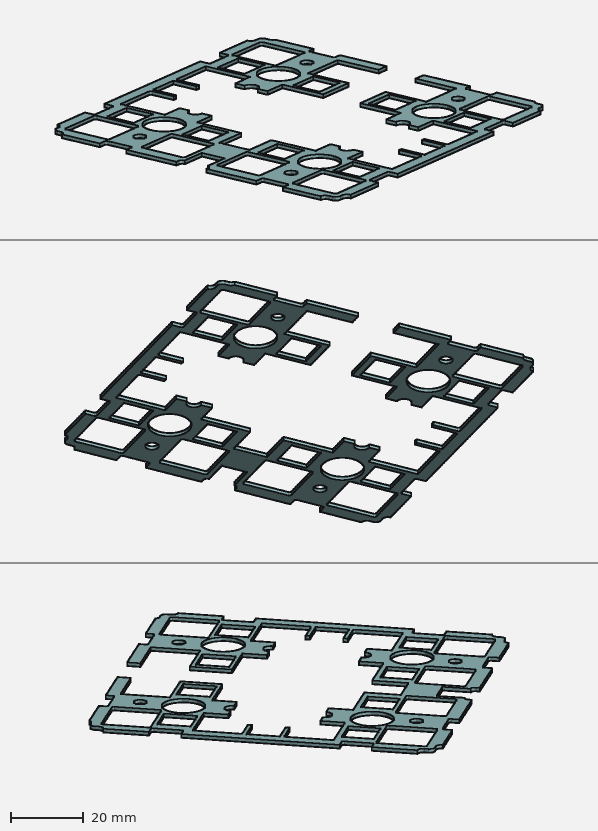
import cadquery as cq
import math

THICKNESS = 1.11
SIDE = 100.0
BACK_TRIM = 0.75
HALF = SIDE / 2
BACK_EDGE = HALF - BACK_TRIM
FRONT_EDGE = -HALF

CORNER_STEP = 1.6
CORNER_LENGTH = 5.9
CORNER_RADIUS = 1.6

RAIL_INNER_X = 46.3
POST_INNER_X = 20.2
POST_OUTER_X = 31.2
POST_END_Y = 12.9
BAR_INNER_Y = 19.8
BAR_OUTER_Y = 31.65
BACK_BAR_END_X = 6.3
FRONT_BAR_END_X = 5.1
FILLET = 0.6

BACK_WINDOW_END_Y = 45.5
FRONT_WINDOW_END_Y = 45.9
FRONT_WINDOW_INNER_X = 5.5

SMALL_WINDOW_SIZE = 9.05
OUTER_SMALL_WINDOW_X = 38.55
INNER_SMALL_WINDOW_X = 12.9
SMALL_WINDOW_OUTER_Y = 30.4
BACK_SMALL_WINDOW_INNER_Y = 21.0
FRONT_SMALL_WINDOW_INNER_Y = 21.4

LARGE_HOLE_DIAMETER = 12.0
LARGE_HOLE_X = 26.5
LARGE_HOLE_Y = 26.5
SCREW_HOLE_DIAMETER = 3.7
POST_AXIS_X = 25.8
SCREW_HOLE_Y = 38.8
POST_END_NOTCH_RADIUS = 2.2

NOTCH_WIDTH = 9.0
SIDE_NOTCH_FLOOR_X = 46.75
SIDE_NOTCH_OUTER_Y = 31.25
BACK_NOTCH_FLOOR_Y = 46.75
FRONT_NOTCH_FLOOR_Y = 47.1

FINGER_TIP_X = 38.4
FINGER_INNER_Y = 4.7
FINGER_OUTER_Y = 5.9

BRIDGE_BACK_Y = -30.0
BRIDGE_FRONT_Y = -39.8
SLOT_HALF_WIDTH = 3.88
SLOT_MOUTH_HALF_WIDTH = 5.1
SLOT_FLARE_Y = -47.7


def box(x_a, x_b, y_a, y_b):
    """Full-thickness block between two X and two Y positions."""
    width = abs(x_b - x_a)
    depth = abs(y_b - y_a)
    return (
        cq.Workplane("XY")
        .center((x_a + x_b) / 2, (y_a + y_b) / 2)
        .rect(width, depth)
        .extrude(THICKNESS)
    )


def rounded_box(x_a, x_b, y_a, y_b):
    """Block with its four upright edges rounded."""
    return box(x_a, x_b, y_a, y_b).edges("|Z").fillet(FILLET)


def disc(x, y, radius):
    return cq.Workplane("XY").center(x, y).circle(radius).extrude(THICKNESS)


def corner_relief(side_x, side_y):
    """Waste outside a stepped corner: concave arcs run out to the edges, a convex arc rounds the tip."""
    step = HALF - CORNER_STEP
    shoulder = HALF - CORNER_LENGTH
    mid = CORNER_RADIUS * (1 - math.sqrt(0.5))
    bend = shoulder + CORNER_RADIUS
    tip = step - CORNER_RADIUS
    concave_mid = (step + mid, shoulder + mid)
    convex_mid = step - mid

    def at(x, y):
        return (side_x * x, side_y * y)

    return (
        cq.Workplane("XY")
        .moveTo(*at(HALF, HALF))
        .lineTo(*at(HALF, shoulder))
        .threePointArc(at(*concave_mid), at(step, bend))
        .lineTo(*at(step, tip))
        .threePointArc(at(convex_mid, convex_mid), at(tip, step))
        .lineTo(*at(bend, step))
        .threePointArc(at(*reversed(concave_mid)), at(shoulder, HALF))
        .close()
        .extrude(THICKNESS)
    )


def central_opening():
    """Space between the bars, leaving the post ends and the fingers standing."""
    opening = box(-RAIL_INNER_X, RAIL_INNER_X, -BAR_INNER_Y, BAR_INNER_Y)
    for side_x in (-1, 1):
        for side_y in (-1, 1):
            post_end = box(
                side_x * POST_INNER_X, side_x * POST_OUTER_X, side_y * POST_END_Y, side_y * BAR_INNER_Y
            )
            finger = box(
                side_x * FINGER_TIP_X, side_x * RAIL_INNER_X, side_y * FINGER_INNER_Y, side_y * FINGER_OUTER_Y
            )
            opening = opening.cut(post_end).cut(finger)
    for side_x in (-1, 1):
        for side_y in (-1, 1):
            corner = cq.selectors.NearestToPointSelector(
                (side_x * RAIL_INNER_X, side_y * FINGER_OUTER_Y, THICKNESS / 2)
            )
            opening = opening.edges(corner).fillet(FILLET)
    return opening


def back_gap():
    """Gap that splits the back rail and the back bars, with the open bays beside it."""
    gap = box(-BACK_BAR_END_X, BACK_BAR_END_X, BAR_INNER_Y, HALF)
    bays = box(-POST_INNER_X, POST_INNER_X, BAR_OUTER_Y, BACK_WINDOW_END_Y)
    return gap.union(bays)


def front_slot():
    """Slot in front of the bridge; concave quarter arcs flare its mouth."""
    flare = SLOT_MOUTH_HALF_WIDTH - SLOT_HALF_WIDTH
    mid = flare * math.sqrt(0.5)
    flare_end_y = SLOT_FLARE_Y - flare
    mid_y = flare_end_y + mid
    mid_x = SLOT_HALF_WIDTH + mid
    return (
        cq.Workplane("XY")
        .moveTo(-SLOT_HALF_WIDTH, BRIDGE_FRONT_Y)
        .lineTo(SLOT_HALF_WIDTH, BRIDGE_FRONT_Y)
        .lineTo(SLOT_HALF_WIDTH, SLOT_FLARE_Y)
        .threePointArc((mid_x, mid_y), (SLOT_MOUTH_HALF_WIDTH, flare_end_y))
        .lineTo(SLOT_MOUTH_HALF_WIDTH, FRONT_EDGE)
        .lineTo(-SLOT_MOUTH_HALF_WIDTH, FRONT_EDGE)
        .lineTo(-SLOT_MOUTH_HALF_WIDTH, flare_end_y)
        .threePointArc((-mid_x, mid_y), (-SLOT_HALF_WIDTH, SLOT_FLARE_Y))
        .close()
        .extrude(THICKNESS)
    )


def edge_notches(side_x, side_y, end_notch_floor):
    """Notch in the side edge and notch in the front or back edge; both run out past the edge."""
    past_edge = HALF + NOTCH_WIDTH
    side_notch = rounded_box(
        side_x * SIDE_NOTCH_FLOOR_X,
        side_x * past_edge,
        side_y * SIDE_NOTCH_OUTER_Y,
        side_y * (SIDE_NOTCH_OUTER_Y - NOTCH_WIDTH),
    )
    end_notch = rounded_box(
        side_x * POST_OUTER_X,
        side_x * (POST_OUTER_X - NOTCH_WIDTH),
        side_y * end_notch_floor,
        side_y * past_edge,
    )
    return [side_notch, end_notch]


def small_windows(side_x, side_y, inner_y):
    half = SMALL_WINDOW_SIZE / 2
    return [
        box(side_x * (x - half), side_x * (x + half), side_y * inner_y, side_y * SMALL_WINDOW_OUTER_Y)
        for x in (OUTER_SMALL_WINDOW_X, INNER_SMALL_WINDOW_X)
    ]


def post_holes(side_x, side_y):
    """Large hole, screw hole and half-round end notch of one post."""
    return [
        disc(side_x * LARGE_HOLE_X, side_y * LARGE_HOLE_Y, LARGE_HOLE_DIAMETER / 2),
        disc(side_x * POST_AXIS_X, side_y * SCREW_HOLE_Y, SCREW_HOLE_DIAMETER / 2),
        disc(side_x * POST_AXIS_X, side_y * POST_END_Y, POST_END_NOTCH_RADIUS),
    ]


def back_quadrant(side_x):
    """Cutouts of one back corner."""
    window = rounded_box(side_x * POST_OUTER_X, side_x * RAIL_INNER_X, BAR_OUTER_Y, BACK_WINDOW_END_Y)
    return [
        window,
        corner_relief(side_x, 1),
        *small_windows(side_x, 1, BACK_SMALL_WINDOW_INNER_Y),
        *edge_notches(side_x, 1, BACK_NOTCH_FLOOR_Y),
        *post_holes(side_x, 1),
    ]


def front_quadrant(side_x):
    """Cutouts of one front corner."""
    outer_window = rounded_box(
        side_x * POST_OUTER_X, side_x * RAIL_INNER_X, -BAR_OUTER_Y, -FRONT_WINDOW_END_Y
    )
    inner_window = rounded_box(
        side_x * FRONT_WINDOW_INNER_X, side_x * POST_INNER_X, -BAR_OUTER_Y, -FRONT_WINDOW_END_Y
    )
    return [
        outer_window,
        inner_window,
        corner_relief(side_x, -1),
        *small_windows(side_x, -1, FRONT_SMALL_WINDOW_INNER_Y),
        *edge_notches(side_x, -1, FRONT_NOTCH_FLOOR_Y),
        *post_holes(side_x, -1),
    ]


plate = box(-HALF, HALF, FRONT_EDGE, BACK_EDGE)
bridge_recess = box(-FRONT_BAR_END_X, FRONT_BAR_END_X, -BAR_INNER_Y, BRIDGE_BACK_Y)
cutouts = [central_opening(), back_gap(), bridge_recess, front_slot()]
for side in (-1, 1):
    cutouts += back_quadrant(side) + front_quadrant(side)
for cutout in cutouts:
    plate = plate.cut(cutout)

result = plate